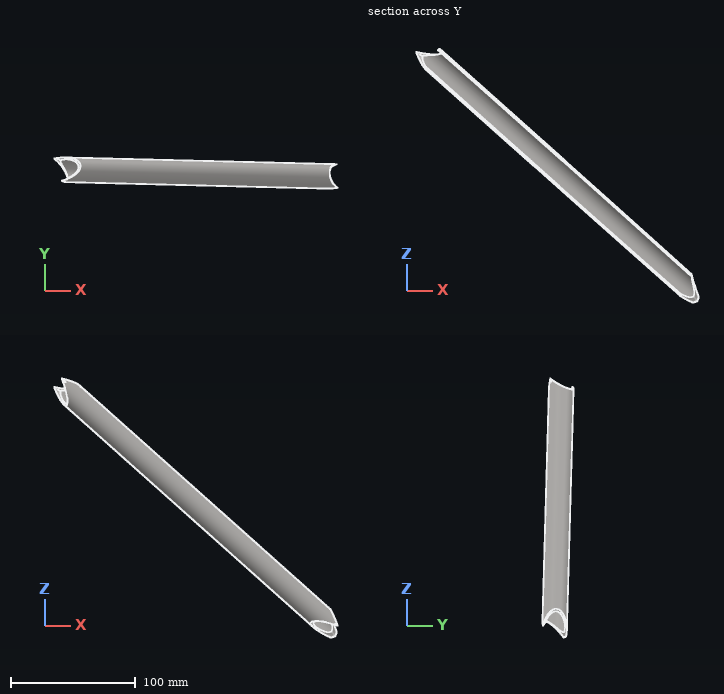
import cadquery as cq
import math

OUTER_RADIUS = 10.0
WALL = 1.65
NODE_DISTANCE = 302.70
RUN_Y = -0.0248
RUN_Z = -0.8923

UPPER_NEIGHBOURS = [(63.09, 63.44), (58.75, -117.94)]
LOWER_NEIGHBOURS = [(55.85, 81.07), (47.23, -125.73)]

END_ALLOWANCE = 2 * OUTER_RADIUS
NEIGHBOUR_REACH = 6 * OUTER_RADIUS

AXIS = cq.Vector(1, RUN_Y, RUN_Z).normalized()
Y_AXIS = cq.Vector(0, 1, 0)
SIDE = (Y_AXIS - AXIS * AXIS.dot(Y_AXIS)).normalized()
UP = AXIS.cross(SIDE)

UPPER_NODE = AXIS * (-NODE_DISTANCE / 2)
LOWER_NODE = AXIS * (NODE_DISTANCE / 2)


def tube_blank():
    """Plain tube along the axis, longer than the finished part at both ends."""
    start = UPPER_NODE - AXIS * END_ALLOWANCE
    length = NODE_DISTANCE + 2 * END_ALLOWANCE
    outside = cq.Solid.makeCylinder(OUTER_RADIUS, length, start, AXIS)
    bore = cq.Solid.makeCylinder(OUTER_RADIUS - WALL, length, start, AXIS)
    return cq.Workplane(outside.cut(bore))


def neighbour(node, inward, angle, around):
    """Solid rod of the tube's own diameter through a node, leaning towards the tube."""
    turn = math.radians(around)
    lean = math.radians(angle)
    across = SIDE * math.cos(turn) + UP * math.sin(turn)
    direction = inward * math.cos(lean) + across * math.sin(lean)
    start = node - direction * NEIGHBOUR_REACH
    return cq.Solid.makeCylinder(OUTER_RADIUS, 2 * NEIGHBOUR_REACH, start, direction)


def coped(tube, node, inward, neighbours):
    """Tube with one end coped to sit between its neighbours."""
    for angle, around in neighbours:
        tube = tube.cut(cq.Workplane(neighbour(node, inward, angle, around)))
    return tube


tube = tube_blank()
tube = coped(tube, UPPER_NODE, AXIS, UPPER_NEIGHBOURS)
tube = coped(tube, LOWER_NODE, AXIS * -1, LOWER_NEIGHBOURS)

result = cq.Workplane(max(tube.solids().vals(), key=lambda solid: solid.Volume()))